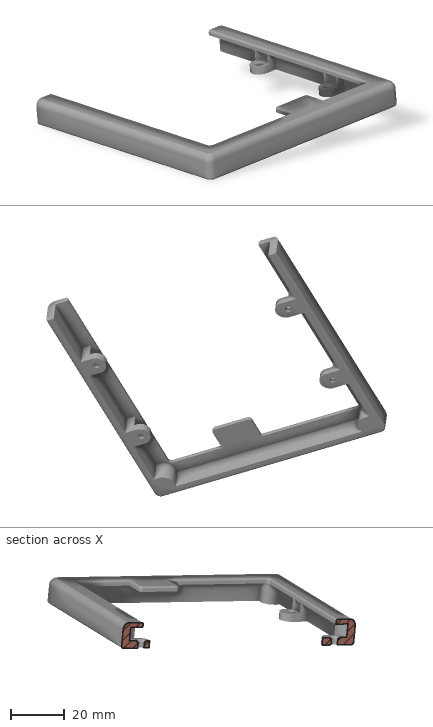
import cadquery as cq

length = 95.4
width = 95.1
height = 9.97
tilt_angle = 5.91

wall = 3.2
plate_thickness = 2.0
plate_border = 8.15
corner_radius = 2.5
top_radius = 2.85
bottom_radius = 1.0
rim_radius = 0.85
opening_corner_radius = 1.3
top_skim = 0.13

tab_length = 9.4
tab_width = 16.15
tab_centre_y = 57.07

lug_positions = (27.0, 65.0)
lug_radius = 3.7
lug_height = 3.0
front_lug_reach = 13.0
rear_lug_reach = 11.5
hole_offset = 8.0
hole_diameter = 2.4
countersink_diameter = 4.0
countersink_angle = 90
column_reach = 6.5
pocket_radius = 3.3

post_reach = 9.2
post_radius = 4.2

clearance = 1.0
rounded_height = height + top_skim
plate_underside = height - plate_thickness


def box(x_start, x_end, y_start, y_end, z_start, z_end):
    """Axis-aligned block between two opposite corners."""
    size = (x_end - x_start, y_end - y_start, z_end - z_start)
    return cq.Workplane("XY").box(*size, centered=False).translate((x_start, y_start, z_start))


def mirror_to_rear(body):
    """Reflect a feature of the front leg onto the rear leg."""
    return body.mirror("XZ", (0, width / 2, 0))


def outer_block():
    block = box(0, length, 0, width, 0, rounded_height)
    block = block.edges("|Z and >X").fillet(corner_radius)
    block = block.faces(">Z").edges("not <X").fillet(top_radius)
    block = block.faces("<Z").edges("not <X").fillet(bottom_radius)
    return block.intersect(box(0, length, 0, width, 0, height))


def plate_opening():
    """Tool for the opening, open at x = 0 and notched around the tab."""
    inner_x = length - plate_border
    z_span = (-clearance, height + clearance)
    opening = box(-clearance, inner_x, plate_border, width - plate_border, *z_span)
    opening = opening.edges("|Z and >X").fillet(opening_corner_radius)
    tab_start = tab_centre_y - tab_width / 2
    tab = box(inner_x - tab_length, length, tab_start, tab_start + tab_width, *z_span)
    tab = tab.edges("|Z and <X").fillet(opening_corner_radius)
    return opening.cut(tab)


def shell():
    cavity = box(-clearance, length - wall, wall, width - wall, -clearance, plate_underside)
    body = outer_block().cut(cavity).cut(plate_opening())
    inner_edge_tolerance = 0.1
    rim_region = cq.selectors.BoxSelector(
        (clearance, plate_border - inner_edge_tolerance, plate_underside + clearance),
        (
            length - plate_border + inner_edge_tolerance,
            width - plate_border + inner_edge_tolerance,
            height + clearance,
        ),
    )
    return body.faces(">Z").edges(rim_region).fillet(rim_radius)


def front_lug(x, reach):
    """Drilled lug with a scooped column above it that ties it to the leg and plate."""
    sides = (x - lug_radius, x + lug_radius)
    root = wall - clearance
    lug = box(*sides, root, reach - lug_radius, 0, lug_height)
    lug = lug.union(cq.Workplane("XY").center(x, reach - lug_radius).circle(lug_radius).extrude(lug_height))
    lug = (
        lug.faces(">Z")
        .workplane(origin=(x, hole_offset, lug_height))
        .cskHole(hole_diameter, countersink_diameter, countersink_angle)
    )
    column = box(*sides, root, column_reach, lug_height, plate_underside)
    pocket = (
        cq.Workplane("XY", origin=(x, column_reach, lug_height))
        .circle(pocket_radius)
        .extrude(plate_underside - lug_height)
    )
    return lug.union(column.cut(pocket))


def front_post():
    root = wall - clearance
    post = box(length - post_reach, length - root, root, post_reach, 0, plate_underside)
    return post.edges("|Z and <X and >Y").fillet(post_radius)


frame = shell()
for lug_x in lug_positions:
    frame = frame.union(front_lug(lug_x, front_lug_reach))
    frame = frame.union(mirror_to_rear(front_lug(lug_x, rear_lug_reach)))
frame = frame.union(front_post()).union(mirror_to_rear(front_post()))

result = frame.rotate((0, 0, 0), (1, 0, 0), tilt_angle)